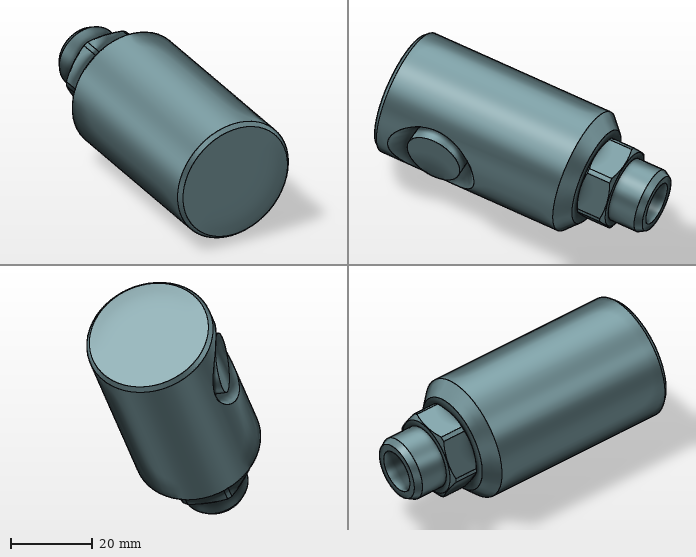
import cadquery as cq
import math

total_length = 71.0
nose_end = 9.0
nut_end = 16.9

nose_radius = 8.3
nose_chamfer_length = 1.8
nose_chamfer_depth = 1.0
bore_radius = 5.5

nut_across_flats = 20.0
nut_corner_radius = 11.2
nut_chamfer_length = 0.8
nut_chamfer_radius = 9.9

body_diameter = 32.0
body_radius = body_diameter / 2
shoulder_chamfer = 3.5
rear_chamfer_length = 1.1
rear_chamfer_depth = 0.9

button_center = 54.7
button_radius = 7.4
button_top = 14.6
recess_mouth_radius = 12.15
recess_floor = 10.5
recess_floor_radius = button_radius


def revolve_about_x(points):
    """Solid of revolution about X from (x, radius) points."""
    return cq.Workplane("XY").polyline(points).close().revolve(360, (0, 0, 0), (1, 0, 0))


def make_nose():
    return revolve_about_x([
        (0, 0),
        (0, nose_radius - nose_chamfer_depth),
        (nose_chamfer_length, nose_radius),
        (nose_end, nose_radius),
        (nose_end, 0),
    ])


def make_nut():
    """Hexagon with corners on the Y axis, turned down at its corners and both ends."""
    corner_diameter = nut_across_flats / math.cos(math.pi / 6)
    hexagon = (
        cq.Workplane("YZ", origin=(nose_end, 0, 0))
        .polygon(6, corner_diameter)
        .extrude(nut_end - nose_end)
    )
    envelope = revolve_about_x([
        (nose_end, 0),
        (nose_end, nut_chamfer_radius),
        (nose_end + nut_chamfer_length, nut_corner_radius),
        (nut_end - nut_chamfer_length, nut_corner_radius),
        (nut_end, nut_chamfer_radius),
        (nut_end, 0),
    ])
    return hexagon.intersect(envelope)


def make_body():
    return revolve_about_x([
        (nut_end, 0),
        (nut_end, body_radius - shoulder_chamfer),
        (nut_end + shoulder_chamfer, body_radius),
        (total_length - rear_chamfer_length, body_radius),
        (total_length, body_radius - rear_chamfer_depth),
        (total_length, 0),
    ])


def make_recess():
    """Cone about the button axis, widening outwards from the floor to the body surface."""
    return cq.Workplane(cq.Solid.makeCone(
        recess_floor_radius,
        recess_mouth_radius,
        body_radius - recess_floor,
        pnt=cq.Vector(button_center, recess_floor, 0),
        dir=cq.Vector(0, 1, 0),
    ))


def make_button():
    """Flat-topped cylinder rooted in the body."""
    return cq.Workplane(cq.Solid.makeCylinder(
        button_radius,
        button_top,
        pnt=cq.Vector(button_center, 0, 0),
        dir=cq.Vector(0, 1, 0),
    ))


bore = cq.Workplane("YZ").circle(bore_radius).extrude(nut_end)

body = make_body().cut(make_recess()).union(make_button())
result = make_nose().union(make_nut()).union(body).cut(bore)